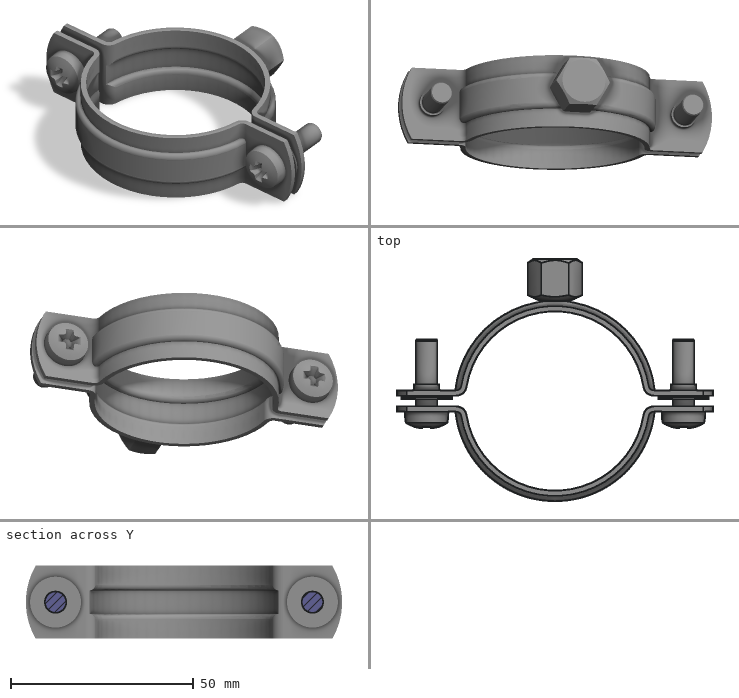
import cadquery as cq
import math


overall_length = 86.7
strip_width = 20.0
thickness = 1.5
ring_outer_radius = 26.0
ring_inner_radius = ring_outer_radius - thickness
gap = 2.9
flange_front = gap / 2
flange_back = flange_front + thickness
bend_inner_radius = thickness
bend_outer_radius = bend_inner_radius + thickness

bead_outer_radius = ring_outer_radius + thickness
bead_flat_half_width = 3.55
bead_half_width = bead_flat_half_width + thickness
groove_flat_half_width = 3.2
groove_half_width = groove_flat_half_width + thickness

screw_x = 35.2
shank_diameter = 6.0
shank_tip_diameter = 5.5
shank_tip_length = 0.5
shank_end = 16.9
head_base_diameter = 12.05
head_rim_diameter = 11.45
head_side_height = 3.0
dome_height = 1.7

recess_depth = 2.95
recess_mouth_span = 7.1
recess_floor_span = 2.6
arm_mouth_width = 2.4
arm_floor_width = 1.3
core_mouth_span = 5.6
core_floor_span = 3.6

washer_diameter = 14.0
washer_thickness = 0.5
washer_front = 0.5
collar_diameter = 7.0
collar_height = 1.65
collar_root_fillet = 0.4

nut_across_flats = 13.0
nut_corner_radius = nut_across_flats / math.sqrt(3)
nut_end = 38.9
nut_end_radius = 6.0
nut_end_chamfer = 1.1
nut_base_radius = 4.25
nut_base_chamfer = 1.6
nut_weld_depth = 0.9


def strip_outline():
    """Bent strip of the rear half, drawn in XY and extruded over the full width."""
    bend_y = flange_back + bend_inner_radius
    bend_x = math.sqrt((ring_outer_radius + bend_inner_radius) ** 2 - bend_y**2)
    bend_angle = math.atan2(bend_y, bend_x)
    end_x = overall_length / 2
    middle_angle = (math.pi / 2 + bend_angle) / 2

    def on_ring(radius, side):
        return side * radius * math.cos(bend_angle), radius * math.sin(bend_angle)

    def on_bend(radius, side):
        return side * (bend_x - radius * math.cos(middle_angle)), bend_y - radius * math.sin(middle_angle)

    return (
        cq.Workplane("XY")
        .moveTo(-end_x, flange_front)
        .lineTo(-bend_x, flange_front)
        .threePointArc(on_bend(bend_outer_radius, -1), on_ring(ring_inner_radius, -1))
        .threePointArc((0, ring_inner_radius), on_ring(ring_inner_radius, 1))
        .threePointArc(on_bend(bend_outer_radius, 1), (bend_x, flange_front))
        .lineTo(end_x, flange_front)
        .lineTo(end_x, flange_back)
        .lineTo(bend_x, flange_back)
        .threePointArc(on_bend(bend_inner_radius, 1), on_ring(ring_outer_radius, 1))
        .threePointArc((0, ring_outer_radius), on_ring(ring_outer_radius, -1))
        .threePointArc(on_bend(bend_inner_radius, -1), (-bend_x, flange_back))
        .lineTo(-end_x, flange_back)
        .close()
        .extrude(strip_width / 2, both=True)
    )


def rounded_ends():
    """Region that rounds each flange end with an arc whose radius is the strip width."""
    end_x = overall_length / 2
    half_width = strip_width / 2
    corner_x = end_x - strip_width + math.sqrt(strip_width**2 - half_width**2)
    return (
        cq.Workplane("XZ")
        .moveTo(-corner_x, -half_width)
        .lineTo(corner_x, -half_width)
        .threePointArc((end_x, 0), (corner_x, half_width))
        .lineTo(-corner_x, half_width)
        .threePointArc((-end_x, 0), (-corner_x, -half_width))
        .close()
        .extrude(bead_outer_radius + thickness, both=True)
    )


def rear_side(start_y):
    """Everything behind the plane Y = start_y, large enough to hold a strip half."""
    return cq.Workplane("XY").box(
        overall_length, overall_length, strip_width, centered=(True, False, True)
    ).translate((0, start_y, 0))


def bead():
    """Raised band outside the ring, with rounded shoulders."""
    diagonal = thickness * math.sqrt(0.5)
    shoulder_r = ring_outer_radius + diagonal
    shoulder_z = bead_flat_half_width + diagonal
    return (
        cq.Workplane("XZ")
        .moveTo(ring_outer_radius, -bead_half_width)
        .threePointArc((shoulder_r, -shoulder_z), (bead_outer_radius, -bead_flat_half_width))
        .lineTo(bead_outer_radius, bead_flat_half_width)
        .threePointArc((shoulder_r, shoulder_z), (ring_outer_radius, bead_half_width))
        .close()
        .revolve(360, (0, 0), (0, 1))
        .intersect(rear_side((flange_front + flange_back) / 2))
    )


def groove():
    """Hollow side of the bead, inside the ring, with rounded edges."""
    diagonal = thickness * math.sqrt(0.5)
    edge_r = ring_outer_radius - diagonal
    edge_z = groove_half_width - diagonal
    return (
        cq.Workplane("XZ")
        .moveTo(ring_inner_radius, -groove_half_width)
        .threePointArc((edge_r, -edge_z), (ring_outer_radius, -groove_flat_half_width))
        .lineTo(ring_outer_radius, groove_flat_half_width)
        .threePointArc((edge_r, edge_z), (ring_inner_radius, groove_half_width))
        .close()
        .revolve(360, (0, 0), (0, 1))
    )


def strip_half():
    """One rear strip half: bent, rounded at the ends, grooved inside and raised outside."""
    return strip_outline().intersect(rounded_ends()).cut(groove()).union(bead())


def frustum(mouth, floor, mouth_y):
    """Tapered recess block from a rectangle at the mouth to a smaller one at the floor."""
    return (
        cq.Workplane("XZ", origin=(0, mouth_y, 0))
        .rect(*mouth)
        .workplane(offset=-recess_depth)
        .rect(*floor)
        .loft(ruled=True)
    )


def cross_recess(mouth_y):
    """Tapered cross: two arms and a square core on edge, limited by a square pyramid."""
    limit = frustum((recess_mouth_span,) * 2, (recess_floor_span,) * 2, mouth_y)
    arm = frustum((recess_mouth_span, arm_mouth_width), (recess_mouth_span, arm_floor_width), mouth_y)
    core_mouth_side = core_mouth_span / math.sqrt(2)
    core_floor_side = core_floor_span / math.sqrt(2)
    core = frustum((core_mouth_side,) * 2, (core_floor_side,) * 2, mouth_y)

    def turned(block, angle):
        return block.rotate((0, 0, 0), (0, 1, 0), angle)

    return arm.union(turned(arm, 90)).union(turned(core, 45)).intersect(limit)


def screw():
    """Screw along the Y axis with its head seated on the front flange."""
    seat = -flange_back
    rim = seat - head_side_height
    apex = rim - dome_height
    rim_radius = head_rim_diameter / 2
    dome_radius = (rim_radius**2 + dome_height**2) / (2 * dome_height)
    dome_half_angle = math.asin(rim_radius / dome_radius) / 2
    dome_middle = (
        dome_radius * math.sin(dome_half_angle),
        apex + dome_radius * (1 - math.cos(dome_half_angle)),
    )
    side_inset = (head_base_diameter - head_rim_diameter) / 8
    side_middle = (head_base_diameter / 2 - side_inset, (seat + rim) / 2)
    body = (
        cq.Workplane("XY")
        .moveTo(0, shank_end)
        .lineTo(shank_tip_diameter / 2, shank_end)
        .lineTo(shank_diameter / 2, shank_end - shank_tip_length)
        .lineTo(shank_diameter / 2, seat)
        .lineTo(head_base_diameter / 2, seat)
        .threePointArc(side_middle, (rim_radius, rim))
        .threePointArc(dome_middle, (0, apex))
        .close()
        .revolve(360, (0, 0), (0, 1))
    )
    return body.cut(cross_recess(apex))


def washer():
    """Thin washer held on the shank between the two flanges."""
    front_plane = cq.Workplane("XZ", origin=(0, washer_front, 0))
    return front_plane.circle(washer_diameter / 2).extrude(-washer_thickness)


def collar():
    """Collar drawn out of the rear flange, with a concave fillet at its root."""
    radius = collar_diameter / 2
    diagonal = collar_root_fillet * (1 - math.sqrt(0.5))
    root_top = flange_back + collar_root_fillet
    return (
        cq.Workplane("XY")
        .moveTo(0, flange_front)
        .lineTo(radius + collar_root_fillet, flange_front)
        .lineTo(radius + collar_root_fillet, flange_back)
        .threePointArc((radius + diagonal, flange_back + diagonal), (radius, root_top))
        .lineTo(radius, flange_back + collar_height)
        .lineTo(0, flange_back + collar_height)
        .close()
        .revolve(360, (0, 0), (0, 1))
    )


def fastener():
    """Screw with its washer and the collar that it passes through."""
    return screw().union(washer()).union(collar())


def nut():
    """Hexagonal nut with conical ends, its base merged into the bead."""
    base = bead_outer_radius - nut_weld_depth
    hexagon = (
        cq.Workplane("XZ", origin=(0, base, 0))
        .polygon(6, 2 * nut_corner_radius)
        .extrude(base - nut_end)
    )
    turned_limit = (
        cq.Workplane("XY")
        .moveTo(0, base)
        .lineTo(nut_base_radius, base)
        .lineTo(nut_base_radius, bead_outer_radius)
        .lineTo(nut_corner_radius, bead_outer_radius + nut_base_chamfer)
        .lineTo(nut_corner_radius, nut_end - nut_end_chamfer)
        .lineTo(nut_end_radius, nut_end)
        .lineTo(0, nut_end)
        .close()
        .revolve(360, (0, 0), (0, 1))
    )
    return hexagon.intersect(turned_limit)


rear_half = strip_half()
front_half = rear_half.mirror("XZ")
result = rear_half.union(front_half).union(nut())
for side in (-1, 1):
    result = result.union(fastener().translate((side * screw_x, 0, 0)))